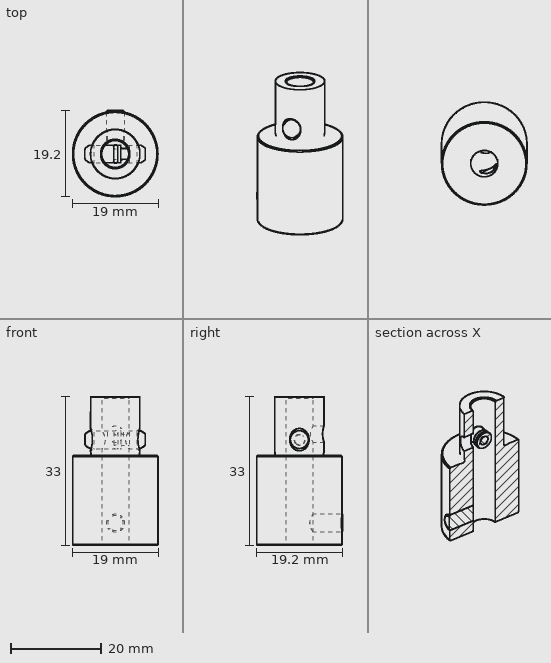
import cadquery as cq
import math

total_height = 33.0
body_diameter = 19.0
body_height = 20.0
body_chamfer = 0.25
neck_diameter = 11.0
bore_diameter = 6.0
bore_chamfer = 0.25

undercut_depth = 0.1
undercut_height = 0.73
undercut_width = 1.22
undercut_fillet = 0.5
neck_run_out = math.radians(15)
shoulder_run_out = math.radians(12)

side_hole_diameter = 3.63
side_hole_z = 24.75

pin_z = 23.5
pin_diameter = 3.95
pin_length = 13.43
pin_end_diameter = 2.6
pin_taper_length = 1.05
pin_end_fillet = 0.63
pin_taper_fillet = 0.5
countersink_diameter = 4.95
countersink_half_angle = math.radians(35)

stem_diameter = 2.45
stem_fillet = 0.4
stem_start_x = 1.25
stem_end_x = 3.1
ring_x = 0.1
ring_section_radius = 0.45
ring_outer_diameter = 4.1

screw_z = 5.0
screw_diameter = 4.0
screw_tip_y = 9.67
screw_chamfer = 0.3

body_radius = body_diameter / 2
neck_radius = neck_diameter / 2
bore_radius = bore_diameter / 2
pin_radius = pin_diameter / 2
pin_end_x = pin_length / 2
ring_center_radius = ring_outer_diameter / 2 - ring_section_radius
groove_radius = ring_center_radius - ring_section_radius
edge_search_margin = 0.03


def housing_blank():
    """Body and neck, with the bore through both and the undercut between them."""
    groove_r = neck_radius - undercut_depth
    run_out_top_z = body_height + undercut_height
    run_out_bottom_z = run_out_top_z - undercut_depth / math.tan(neck_run_out)
    shoulder_r = neck_radius + undercut_width

    fillet_center_r = groove_r + undercut_fillet
    floor_r = fillet_center_r + undercut_fillet * math.sin(shoulder_run_out)
    floor_z = body_height - (shoulder_r - floor_r) * math.tan(shoulder_run_out)
    fillet_center_z = floor_z + undercut_fillet * math.cos(shoulder_run_out)
    start_angle = 1.5 * math.pi + shoulder_run_out
    end_angle = math.pi
    middle_angle = (start_angle + end_angle) / 2
    fillet_middle = (
        fillet_center_r + undercut_fillet * math.cos(middle_angle),
        fillet_center_z + undercut_fillet * math.sin(middle_angle),
    )

    profile = (
        cq.Workplane("XZ")
        .moveTo(bore_radius, 0)
        .lineTo(body_radius - body_chamfer, 0)
        .lineTo(body_radius, body_chamfer)
        .lineTo(body_radius, body_height - body_chamfer)
        .lineTo(body_radius - body_chamfer, body_height)
        .lineTo(shoulder_r, body_height)
        .lineTo(floor_r, floor_z)
        .threePointArc(fillet_middle, (groove_r, fillet_center_z))
        .lineTo(groove_r, run_out_bottom_z)
        .lineTo(neck_radius, run_out_top_z)
        .lineTo(neck_radius, total_height)
        .lineTo(bore_radius + bore_chamfer, total_height)
        .lineTo(bore_radius, total_height - bore_chamfer)
        .close()
    )
    return profile.revolve(360, (0, 0, 0), (0, 1, 0))


def pin_hole():
    """Hole across the neck, countersunk where it leaves the neck on either side."""
    outer_r = countersink_diameter / 2
    depth = (outer_r - pin_radius) / math.tan(countersink_half_angle)
    profile = (
        cq.Workplane("XZ", origin=(0, 0, pin_z))
        .moveTo(-neck_radius, 0)
        .lineTo(-neck_radius, outer_r)
        .lineTo(-neck_radius + depth, pin_radius)
        .lineTo(neck_radius - depth, pin_radius)
        .lineTo(neck_radius, outer_r)
        .lineTo(neck_radius, 0)
        .close()
    )
    return profile.revolve(360, (0, 0, 0), (1, 0, 0))


def cylinder_along_y(diameter, z, end_y):
    """Cylinder that points toward +Y, from the Z axis to end_y."""
    return (
        cq.Workplane("XZ", origin=(0, 0, z))
        .circle(diameter / 2)
        .extrude(-end_y)
    )


def make_housing():
    return (
        housing_blank()
        .cut(pin_hole())
        .cut(cylinder_along_y(side_hole_diameter, side_hole_z, neck_radius))
        .cut(cylinder_along_y(screw_diameter, screw_z, body_radius))
    )


def fillet_circle(turned, x, radius, fillet):
    """Round the circular edge of the given radius at x on a body turned around the pin's axis."""
    reach = radius + edge_search_margin
    box = cq.selectors.BoxSelector(
        (x - edge_search_margin, -reach, pin_z - reach),
        (x + edge_search_margin, reach, pin_z + reach),
        boundingbox=True,
    )
    return turned.edges(box).edges("%CIRCLE").fillet(fillet)


def make_pin():
    """Turned pin with tapered, rounded ends, an O-ring groove and a filleted waist."""
    end_r = pin_end_diameter / 2
    taper_x = pin_end_x - pin_taper_length
    stem_r = stem_diameter / 2
    profile = (
        cq.Workplane("XZ", origin=(0, 0, pin_z))
        .moveTo(-pin_end_x, 0)
        .lineTo(-pin_end_x, end_r)
        .lineTo(-taper_x, pin_radius)
        .lineTo(ring_x - ring_section_radius, pin_radius)
        .lineTo(ring_x - ring_section_radius, groove_radius)
        .lineTo(ring_x + ring_section_radius, groove_radius)
        .lineTo(ring_x + ring_section_radius, pin_radius)
        .lineTo(stem_start_x, pin_radius)
        .lineTo(stem_start_x, stem_r)
        .lineTo(stem_end_x, stem_r)
        .lineTo(stem_end_x, pin_radius)
        .lineTo(taper_x, pin_radius)
        .lineTo(pin_end_x, end_r)
        .lineTo(pin_end_x, 0)
        .close()
    )
    pin = profile.revolve(360, (0, 0, 0), (1, 0, 0))

    for side in (-1, 1):
        pin = fillet_circle(pin, side * taper_x, pin_radius, pin_taper_fillet)
        pin = fillet_circle(pin, side * pin_end_x, end_r, pin_end_fillet)
    for x in (stem_start_x, stem_end_x):
        pin = fillet_circle(pin, x, stem_r, stem_fillet)
    return pin


def make_o_ring():
    """O-ring that fills the width of the pin's groove."""
    return (
        cq.Workplane("XZ", origin=(0, 0, pin_z))
        .center(ring_x, ring_center_radius)
        .circle(ring_section_radius)
        .revolve(360, (0, -ring_center_radius, 0), (1, -ring_center_radius, 0))
    )


def make_set_screw():
    """Plain screw from the bore outward, its chamfered end standing slightly proud of the body."""
    return (
        cq.Workplane("XZ", origin=(0, bore_radius, screw_z))
        .circle(screw_diameter / 2)
        .extrude(bore_radius - screw_tip_y)
        .faces(">Y")
        .chamfer(screw_chamfer)
    )


housing = make_housing()
pin = make_pin()
o_ring = make_o_ring()
set_screw = make_set_screw()

result = cq.Compound.makeCompound([housing.val(), pin.val(), o_ring.val(), set_screw.val()])